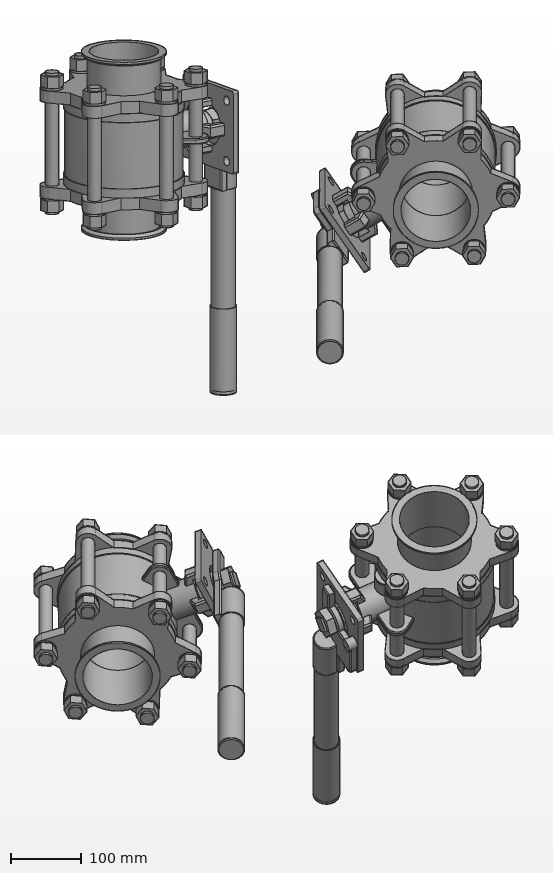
import cadquery as cq
import math


hex_sides = 6
square_sides = 4
overall_height = 529.0
overall_width = 238.5
bore_radius = 49.0
total_half_length = 130.5

ferrule_radius = 52.5
lip_radius = 60.5
lip_rim = 3.0
lip_taper = 3.5
lip_taper_radius = 55.0

ear_count = 6
ear_radius = 17.0
stud_circle_radius = overall_width / 2 - ear_radius
flange_radius = 84.5
ear_half_angle = 21.0
flange_outer_z = 79.5
flange_inner_z = 62.0
hub_radius = 85.5
hub_inner_z = 48.5

stud_radius = 19.5 / 2
stud_length = 207.5
nut_corner_radius = 16.5
nut_outer_z = 99.5
washer_radius = 15.5
washer_height = 3.0

body_radius = 84.0
neck_radius = 26.0
neck_end_y = 129.5
pad_radius = 17.5
pad_center_y = 77.0
pad_chamfer = 1.0

lug_thickness = 8.5
lug_eye_radius = 18.5
lug_root_x = 55.5
lug_chamfer = 1.5

plate_size = 121.0
plate_corner_radius = 3.0
plate_thickness = 9.0
plate_front_y = 147.5
plate_hole_spacing = 89.0
plate_hole_diameter = 13.0
plate_opening_radius = 30.0
arm_count = 4
arm_inner = 29.5
arm_outer = 39.5
arm_width = 19.0
arm_edge_chamfer = 2.5
arm_bend_y = 122.5
arm_root_y = 116.0

gland_radius = 19.5
collar_corner_radius = 22.0
collar_start_y = 142.5
stem_corner_radius = 15.0
stem_end_y = 184.0

lever_thickness = 12.0
lever_hub_radius = 23.5
lever_edge_chamfer = 2.0
tower_left_x = 5.5
tower_top_z = 53.0
stop_reach = 60.0
stop_boss_radius = 9.5
stop_boss_height = 14.0
stop_arm_bottom_z = -57.5
stop_corner_radius = 7.5
tongue_width = 41.0
handle_x = -2.0
handle_y = 175.5
socket_radius = 19.0
socket_chamfer = 1.5
socket_top_z = -34.5
socket_bottom_z = -96.5
tube_radius = 17.5

grip_radius = socket_radius
grip_top_z = -271.5
grip_bottom_z = total_half_length - overall_height
grip_end_wall = 5.5
grip_chamfer = 1.5

lever_nut_corner_radius = 22.0
lever_nut_height = 12.0

plate_back_y = plate_front_y + plate_thickness
lever_back_y = plate_back_y + lever_thickness
lever_nut_end_y = lever_back_y + lever_nut_height


def polar(radius, degrees):
    """Point at a radius and an angle from +X."""
    angle = math.radians(degrees)
    return (radius * math.cos(angle), radius * math.sin(angle))


def tangent_point(point, center, radius, side):
    """Where the line from the point touches the circle; side is +1 or -1."""
    dx = point[0] - center[0]
    dy = point[1] - center[1]
    angle = math.atan2(dy, dx) + side * math.acos(radius / math.hypot(dx, dy))
    return (center[0] + radius * math.cos(angle), center[1] + radius * math.sin(angle))


def across_y(back_y):
    """Workplane in X and Z at the given Y; extruding goes toward -Y."""
    return cq.Workplane("XZ", origin=(0, back_y, 0))


def both_ends(upper):
    """The upper shape joined with its mirror image below the XY plane."""
    return upper.union(upper.mirror("XY"))


stud_angles = [index * 360.0 / ear_count for index in range(ear_count)]
stud_centers = [polar(stud_circle_radius, angle) for angle in stud_angles]


def clamp_flange():
    """Bored disc with six tangent-sided ears."""
    thickness = flange_outer_z - flange_inner_z
    base = cq.Workplane("XY", origin=(0, 0, flange_inner_z))
    root = polar(flange_radius, ear_half_angle)
    tangent = tangent_point(root, (stud_circle_radius, 0), ear_radius, -1)
    ear = (
        base.lineTo(root[0], -root[1])
        .lineTo(tangent[0], -tangent[1])
        .threePointArc((stud_circle_radius + ear_radius, 0), tangent)
        .lineTo(*root)
        .close()
        .extrude(thickness)
    )
    flange = base.circle(flange_radius).extrude(thickness)
    for angle in stud_angles:
        flange = flange.union(ear.rotate((0, 0, 0), (0, 0, 1), angle))
    return flange.cut(base.circle(bore_radius).extrude(thickness))


def pipe_end():
    """Bored hub and ferrule with a tapered clamp lip, revolved about Z."""
    lip_taper_z = total_half_length - lip_rim
    return (
        cq.Workplane("XZ")
        .moveTo(bore_radius, hub_inner_z)
        .lineTo(hub_radius, hub_inner_z)
        .lineTo(hub_radius, flange_inner_z)
        .lineTo(ferrule_radius, flange_inner_z)
        .lineTo(ferrule_radius, lip_taper_z - lip_taper)
        .lineTo(lip_taper_radius, lip_taper_z - lip_taper)
        .lineTo(lip_radius, lip_taper_z)
        .lineTo(lip_radius, total_half_length)
        .lineTo(bore_radius, total_half_length)
        .close()
        .revolve(360, (0, 0, 0), (0, 1, 0))
    )


def upper_nuts():
    """Washers and hexagon nuts on the upper flange."""
    washer_top_z = flange_outer_z + washer_height
    washers = (
        cq.Workplane("XY", origin=(0, 0, flange_outer_z))
        .pushPoints(stud_centers)
        .circle(washer_radius)
        .extrude(washer_height)
    )
    nuts = (
        cq.Workplane("XY", origin=(0, 0, washer_top_z))
        .pushPoints(stud_centers)
        .polygon(hex_sides, 2 * nut_corner_radius)
        .extrude(nut_outer_z - washer_top_z)
    )
    return washers.union(nuts)


def stud_cylinders(length):
    """Six parallel cylinders centred on the XY plane."""
    return (
        cq.Workplane("XY", origin=(0, 0, -length / 2))
        .pushPoints(stud_centers)
        .circle(stud_radius)
        .extrude(length)
    )


def make_frame():
    upper_end = clamp_flange().union(pipe_end()).union(upper_nuts())
    return both_ends(upper_end).union(stud_cylinders(stud_length))


def lug_plate():
    """Plate with two eyes round the rear studs, tapering in to the body."""
    eye_x, eye_y = stud_centers[1]
    root = (lug_root_x, math.sqrt(body_radius**2 - lug_root_x**2))
    tangent = tangent_point(root, (eye_x, eye_y), lug_eye_radius, 1)
    return (
        cq.Workplane("XY", origin=(0, 0, -lug_thickness / 2))
        .moveTo(0, 0)
        .lineTo(*root)
        .lineTo(*tangent)
        .threePointArc((eye_x + lug_eye_radius, eye_y), (eye_x, eye_y + lug_eye_radius))
        .lineTo(-eye_x, eye_y + lug_eye_radius)
        .threePointArc((-eye_x - lug_eye_radius, eye_y), (-tangent[0], tangent[1]))
        .lineTo(-root[0], root[1])
        .close()
        .extrude(lug_thickness)
        .faces("<Z or >Z")
        .chamfer(lug_chamfer)
    )


def mounting_arm():
    """Bent arm on the +X side, from the neck out to the mounting plate."""
    slope_direction = (1, -1.5, 0)
    return (
        cq.Workplane("XY", origin=(0, 0, -arm_width / 2))
        .moveTo(0, arm_root_y)
        .lineTo(neck_radius, arm_root_y)
        .lineTo(arm_outer, arm_bend_y)
        .lineTo(arm_outer, plate_front_y)
        .lineTo(arm_inner, plate_front_y)
        .lineTo(arm_inner, neck_end_y)
        .lineTo(0, neck_end_y)
        .close()
        .extrude(arm_width)
        .faces(f">X or >{slope_direction}")
        .edges("not |Z")
        .chamfer(arm_edge_chamfer)
    )


def mounting_plate():
    """Square plate with four bolt holes and a round opening for the stem."""
    return (
        across_y(plate_back_y)
        .rect(plate_size, plate_size)
        .extrude(plate_thickness)
        .edges("|Y")
        .fillet(plate_corner_radius)
        .cut(
            across_y(plate_back_y)
            .rect(plate_hole_spacing, plate_hole_spacing, forConstruction=True)
            .vertices()
            .circle(plate_hole_diameter / 2)
            .extrude(plate_thickness)
        )
        .cut(across_y(plate_back_y).circle(plate_opening_radius).extrude(plate_thickness))
    )


def make_valve_body():
    barrel_length = 2 * hub_inner_z
    barrel_base = cq.Workplane("XY", origin=(0, 0, -hub_inner_z))
    barrel = barrel_base.circle(body_radius).extrude(barrel_length)
    neck = across_y(neck_end_y).circle(neck_radius).extrude(neck_end_y)
    pad = (
        cq.Workplane("XY", origin=(0, pad_center_y, 0))
        .circle(pad_radius)
        .extrude(hub_inner_z)
        .faces(">Z")
        .chamfer(pad_chamfer)
    )
    body = barrel.union(neck).union(pad).union(lug_plate())
    arm = mounting_arm()
    for index in range(arm_count):
        body = body.union(arm.rotate((0, 0, 0), (0, 1, 0), index * 360.0 / arm_count))
    bore = barrel_base.circle(bore_radius).extrude(barrel_length)
    return body.union(mounting_plate()).cut(bore).cut(stud_cylinders(barrel_length))


def square_shank():
    """Square stem end with its corners on X and Z."""
    return across_y(stem_end_y).polygon(square_sides, 2 * stem_corner_radius).extrude(stem_end_y - plate_back_y)


def make_stem():
    gland = across_y(collar_start_y).circle(gland_radius).extrude(collar_start_y - neck_end_y)
    collar = (
        across_y(plate_back_y)
        .polygon(hex_sides, 2 * collar_corner_radius)
        .extrude(plate_back_y - collar_start_y)
        .rotate((0, 0, 0), (0, 1, 0), 90)
    )
    return gland.union(collar).union(square_shank())


def lever_blade():
    """Flat blade: hub, upright finger, stop arm to -X and tongue down to the handle."""
    tongue_left = handle_x - tongue_width / 2
    hub = across_y(lever_back_y).circle(lever_hub_radius).extrude(lever_thickness)
    tower = (
        across_y(lever_back_y)
        .moveTo(tower_left_x, 0)
        .lineTo(lever_hub_radius, 0)
        .lineTo(lever_hub_radius, tower_top_z)
        .lineTo(tower_left_x, tower_top_z)
        .close()
        .extrude(lever_thickness)
    )
    stop_arm = (
        across_y(lever_back_y)
        .moveTo(0, 0)
        .lineTo(-stop_reach, 0)
        .lineTo(-stop_reach, stop_arm_bottom_z)
        .lineTo(0, stop_arm_bottom_z)
        .close()
        .extrude(lever_thickness)
        .edges("|Y and <X and <Z")
        .fillet(stop_corner_radius)
    )
    tongue = (
        across_y(lever_back_y)
        .moveTo(tongue_left, 0)
        .lineTo(tongue_left, socket_bottom_z)
        .lineTo(tongue_left + tongue_width, socket_bottom_z)
        .lineTo(tongue_left + tongue_width, 0)
        .close()
        .extrude(lever_thickness)
    )
    blade = hub.union(tower).union(stop_arm).union(tongue)
    return blade.faces("<Y or >Y").chamfer(lever_edge_chamfer)


def make_lever():
    stop_boss = (
        across_y(plate_back_y + stop_boss_height)
        .center(stop_boss_radius - stop_reach, 0)
        .circle(stop_boss_radius)
        .extrude(stop_boss_height)
    )
    socket = (
        cq.Workplane("XY", origin=(handle_x, handle_y, socket_bottom_z))
        .circle(socket_radius)
        .extrude(socket_top_z - socket_bottom_z)
        .faces(">Z")
        .chamfer(socket_chamfer)
    )
    tube_end_z = grip_bottom_z + grip_end_wall
    tube = (
        cq.Workplane("XY", origin=(handle_x, handle_y, tube_end_z))
        .circle(tube_radius)
        .extrude(socket_bottom_z - tube_end_z)
    )
    return lever_blade().union(stop_boss).union(socket).union(tube).cut(square_shank())


def make_grip():
    """Sleeve with a closed lower end over the handle tube."""
    return (
        cq.Workplane("XY", origin=(handle_x, handle_y, grip_bottom_z))
        .circle(grip_radius)
        .extrude(grip_top_z - grip_bottom_z)
        .faces("<Z")
        .chamfer(grip_chamfer)
        .faces(">Z")
        .workplane()
        .hole(2 * tube_radius, grip_top_z - grip_bottom_z - grip_end_wall)
    )


def make_lever_nut():
    nut = across_y(lever_nut_end_y).polygon(hex_sides, 2 * lever_nut_corner_radius).extrude(lever_nut_height)
    return nut.cut(square_shank())


frame = make_frame()
valve_body = make_valve_body()
stem = make_stem()
lever = make_lever()
grip = make_grip()
lever_nut = make_lever_nut()

result = cq.Compound.makeCompound(
    [frame.val(), valve_body.val(), stem.val(), lever.val(), grip.val(), lever_nut.val()]
)